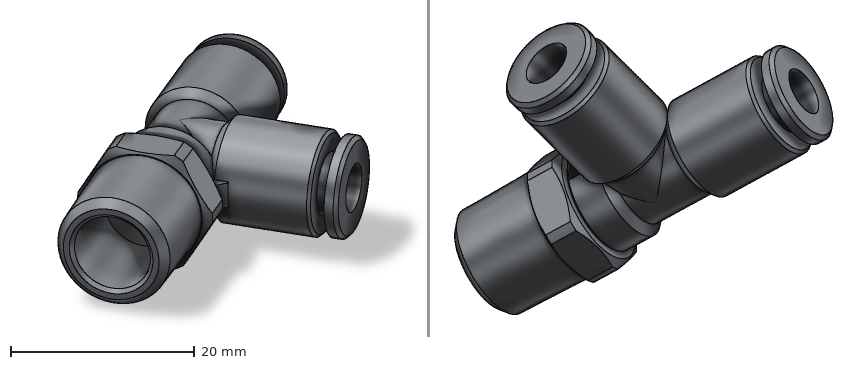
import cadquery as cq
import math


overall_length = 43.4

port_reach = 20.1
collar_radius = 5.77
collar_thickness = 1.48
collar_chamfer = 0.45
neck_radius = 3.55
neck_flare = 0.2
body_radius = 6.0
body_end = 17.0
body_end_chamfer = 0.35
core_radius = 5.0
shoulder_start = core_radius

lower_shoulder_start = 2.8
lower_body_end = 7.6
lower_body_chamfer = 0.2

hex_sides = 6
hex_across_flats = 14.0
hex_corner_radius = 7.75
hex_face_radius = 6.75
hex_chamfer_angle = 30.0
hex_start = lower_body_end + lower_body_chamfer
hex_end = 12.33

stud_end = overall_length - port_reach
stud_root_radius = 6.7
stud_tip_radius = 6.45
stud_chamfer = 0.95

gusset_thickness = 3.0
gusset_reach = lower_body_end

passage_radius = 2.75
stud_bore_radius = 4.4
stud_bore_chamfer = 0.45
stud_bore_bottom = hex_end
drill_point_angle = 118.0


def revolve_about_x(points):
    """Turn a closed (axial position, radius) outline about the X axis."""
    return cq.Workplane("XY").polyline(points).close().revolve(360, (0, 0, 0), (1, 0, 0))


def towards_plus_y(solid):
    return solid.rotate((0, 0, 0), (0, 0, 1), 90)


def towards_minus_y(solid):
    return solid.rotate((0, 0, 0), (0, 0, 1), -90)


def tube_port():
    """Core, stepped body, neck and release collar, pointing along +X."""
    collar_start = port_reach - collar_thickness
    return revolve_about_x([
        (0, 0),
        (0, core_radius),
        (shoulder_start, core_radius),
        (shoulder_start + body_radius - core_radius, body_radius),
        (body_end - body_end_chamfer, body_radius),
        (body_end, body_radius - body_end_chamfer),
        (body_end, neck_radius),
        (collar_start - neck_flare, neck_radius),
        (collar_start, neck_radius + neck_flare),
        (collar_start, collar_radius),
        (port_reach - collar_chamfer, collar_radius),
        (port_reach, collar_radius - collar_chamfer),
        (port_reach, 0),
    ])


def lower_run():
    """Stepped body and tapered stud, pointing along +X."""
    neck = body_radius - lower_body_chamfer
    return revolve_about_x([
        (0, 0),
        (0, core_radius),
        (lower_shoulder_start, core_radius),
        (lower_shoulder_start + body_radius - core_radius, body_radius),
        (lower_body_end, body_radius),
        (hex_start, neck),
        (hex_end, neck),
        (hex_end, stud_root_radius),
        (stud_end - stud_chamfer, stud_tip_radius),
        (stud_end, stud_tip_radius - stud_chamfer),
        (stud_end, 0),
    ])


def hexagon():
    """Hexagon with turned corners and chamfered faces, along +X."""
    corner_distance = hex_across_flats / math.cos(math.pi / hex_sides)
    prism = (
        cq.Workplane("YZ", origin=(hex_start, 0, 0))
        .polygon(hex_sides, corner_distance)
        .extrude(hex_end - hex_start)
    )
    chamfer_depth = (hex_corner_radius - hex_face_radius) * math.tan(math.radians(hex_chamfer_angle))
    turned_blank = revolve_about_x([
        (hex_start, 0),
        (hex_start, hex_face_radius),
        (hex_start + chamfer_depth, hex_corner_radius),
        (hex_end - chamfer_depth, hex_corner_radius),
        (hex_end, hex_face_radius),
        (hex_end, 0),
    ])
    return prism.intersect(turned_blank)


def gusset():
    """Flat web filling the corner beside the branch, with a 45 degree edge."""
    return (
        cq.Workplane("XY", origin=(0, 0, -gusset_thickness / 2))
        .polyline([
            (0, 0),
            (0, -lower_body_end),
            (body_radius, -lower_body_end),
            (gusset_reach, -body_radius),
            (gusset_reach, 0),
        ])
        .close()
        .extrude(gusset_thickness)
    )


def port_passage():
    """Plain round passage from the axis crossing out through the collar."""
    return revolve_about_x([(0, 0), (0, passage_radius), (port_reach, passage_radius), (port_reach, 0)])


def stud_passage():
    """Chamfered stud bore with a drill-point bottom leading into the passage."""
    cone_depth = (stud_bore_radius - passage_radius) / math.tan(math.radians(drill_point_angle / 2))
    return revolve_about_x([
        (0, 0),
        (0, passage_radius),
        (stud_bore_bottom - cone_depth, passage_radius),
        (stud_bore_bottom, stud_bore_radius),
        (stud_end - stud_bore_chamfer, stud_bore_radius),
        (stud_end, stud_bore_radius + stud_bore_chamfer),
        (stud_end, 0),
    ])


body = (
    tube_port()
    .union(towards_plus_y(tube_port()))
    .union(towards_minus_y(lower_run()))
    .union(towards_minus_y(hexagon()))
    .union(gusset())
)

result = (
    body
    .cut(port_passage())
    .cut(towards_plus_y(port_passage()))
    .cut(towards_minus_y(stud_passage()))
)